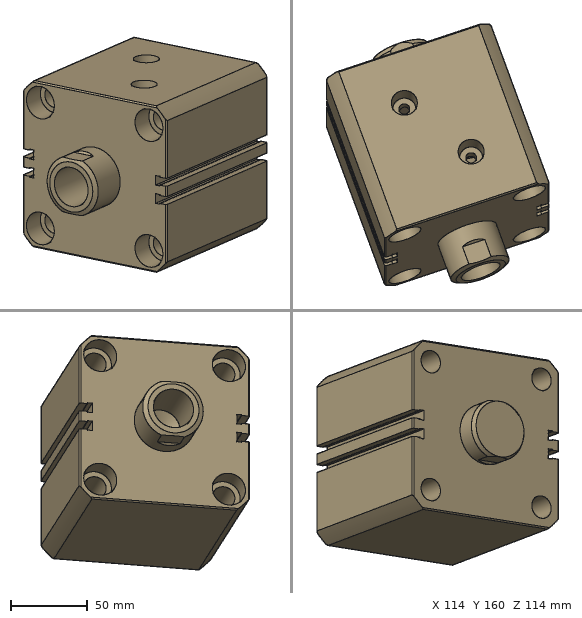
import cadquery as cq
import math


overall_length = 160.0

side = 114.0
housing_length = 116.3
corner_radius = 74.7
end_chamfer = 1.0

bolt_offset = 43.0
bolt_hole_diameter = 15.0
counterbore_diameter = 22.0
counterbore_depth = 16.0

slot_offset = 6.2
slot_neck_width = 5.5
slot_neck_depth = 5.5
slot_inner_width = 6.5
slot_depth = 8.6

port_x = 15.0
port_y = 23.0
port_mouth_diameter = 17.0
port_floor_diameter = 15.0
port_depth = 12.8
passage_diameter = 7.0

rod_diameter = 40.5
rod_front_reach = 26.9
rod_rear_reach = overall_length - housing_length - rod_front_reach
front_chamfer_length = 1.6
front_chamfer_depth = 3.2
rear_chamfer_length = 3.2
rear_chamfer_depth = 1.6
flat_height = 18.7
flat_length = 14.0
socket_diameter = 26.7
socket_depth = 40.0
drill_point_angle = 118.0

bore_diameter = 80.0
chamber_length = 56.0
stroke = rod_front_reach - rod_rear_reach
groove_width = 4.5
groove_depth = 0.8
groove_y = -22.7

front_y = -housing_length / 2
rod_front_y = front_y - rod_front_reach
rod_rear_y = -front_y + rod_rear_reach
chamber_front_y = -chamber_length / 2
rod_radius = rod_diameter / 2


def cylinder_y(diameter, y_start, length):
    """Cylinder on the Y axis, running from y_start towards +Y."""
    axis = cq.Vector(0, 1, 0)
    return cq.Workplane(cq.Solid.makeCylinder(diameter / 2, length, cq.Vector(0, y_start, 0), axis))


def revolved(profile):
    """Solid of revolution about Y from (radius, y) points."""
    return cq.Workplane("XY").polyline(profile).close().revolve(360, (0, 0), (0, 1))


def mounting_holes():
    holes = cq.Workplane()
    for x in (-bolt_offset, bolt_offset):
        for z in (-bolt_offset, bolt_offset):
            shank = cylinder_y(bolt_hole_diameter, front_y, housing_length)
            head = cylinder_y(counterbore_diameter, front_y, counterbore_depth)
            holes = holes.add(shank.union(head).translate((x, 0, z)))
    return holes.combine()


def sensor_slots():
    slots = cq.Workplane()
    inner_depth = slot_depth - slot_neck_depth
    for direction in (-1, 1):
        for z in (-slot_offset, slot_offset):
            neck_x = direction * (side - slot_neck_depth) / 2
            inner_x = direction * (side / 2 - slot_neck_depth - inner_depth / 2)
            neck = cq.Workplane().box(slot_neck_depth, housing_length, slot_neck_width)
            inner = cq.Workplane().box(inner_depth, housing_length, slot_inner_width)
            slot = neck.translate((neck_x, 0, z)).union(inner.translate((inner_x, 0, z)))
            slots = slots.add(slot)
    return slots.combine()


def port(x, y):
    """Tapered port with a narrow passage that ends in the chamber beside the rod."""
    down = cq.Vector(0, 0, -1)
    top = cq.Vector(x, y, side / 2)
    taper = cq.Solid.makeCone(port_mouth_diameter / 2, port_floor_diameter / 2, port_depth, top, down)
    passage_length = side / 2 - rod_radius
    passage = cq.Solid.makeCylinder(passage_diameter / 2, passage_length, top, down)
    return cq.Workplane(taper).union(cq.Workplane(passage))


def make_housing():
    block = cq.Workplane().box(side, housing_length, side)
    block = block.faces("<Y or >Y").edges().chamfer(end_chamfer)
    block = block.intersect(cylinder_y(2 * corner_radius, front_y, housing_length))
    block = block.cut(cylinder_y(rod_diameter, front_y, housing_length))
    block = block.cut(cylinder_y(bore_diameter, chamber_front_y, chamber_length))
    block = block.cut(mounting_holes()).cut(sensor_slots())
    return block.cut(port(-port_x, port_y)).cut(port(port_x, -port_y))


def wrench_flats():
    """Cutters for the flats above and below both rod ends, each with a 45 degree run-out."""
    rise = rod_radius - flat_height
    cutters = cq.Workplane()
    for end_y, inward in ((rod_front_y, 1), (rod_rear_y, -1)):
        flat_end_y = end_y + inward * flat_length
        for up in (-1, 1):
            outline = [
                (end_y, up * flat_height),
                (flat_end_y, up * flat_height),
                (flat_end_y + inward * rise, up * rod_radius),
                (end_y, up * rod_radius),
            ]
            cutter = cq.Workplane("YZ").polyline(outline).close().extrude(rod_radius, both=True)
            cutters = cutters.add(cutter)
    return cutters.combine()


def make_rod():
    rod = revolved([
        (0, rod_front_y),
        (rod_radius - front_chamfer_depth, rod_front_y),
        (rod_radius, rod_front_y + front_chamfer_length),
        (rod_radius, rod_rear_y - rear_chamfer_length),
        (rod_radius - rear_chamfer_depth, rod_rear_y),
        (0, rod_rear_y),
    ])
    socket_radius = socket_diameter / 2
    point_length = socket_radius / math.tan(math.radians(drill_point_angle / 2))
    socket = revolved([
        (0, rod_front_y),
        (socket_radius, rod_front_y),
        (socket_radius, rod_front_y + socket_depth),
        (0, rod_front_y + socket_depth + point_length),
    ])
    return rod.cut(wrench_flats()).cut(socket)


def make_piston():
    """Piston at the front end of its stroke, with a groove under the front port."""
    length = chamber_length - stroke
    piston = cylinder_y(bore_diameter, chamber_front_y, length)
    groove_start_y = groove_y - groove_width / 2
    groove = cylinder_y(bore_diameter, groove_start_y, groove_width)
    groove = groove.cut(cylinder_y(bore_diameter - 2 * groove_depth, groove_start_y, groove_width))
    return piston.cut(groove).cut(cylinder_y(rod_diameter, chamber_front_y, length))


housing = make_housing()
rod = make_rod()
piston = make_piston()

result = cq.Compound.makeCompound([housing.val(), rod.val(), piston.val()])